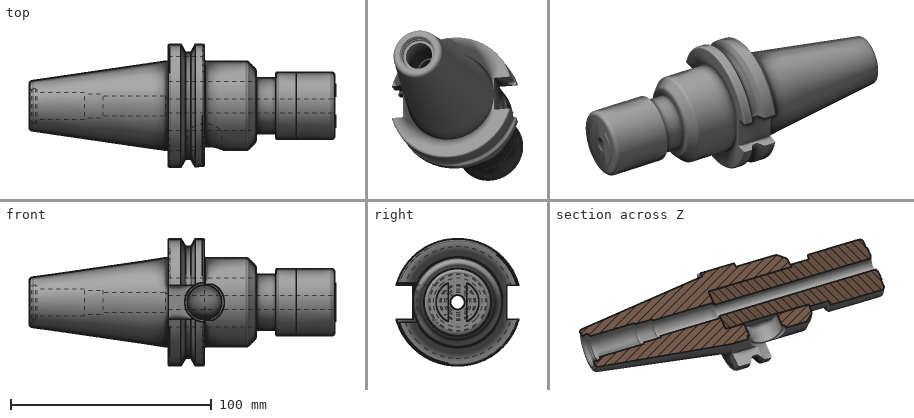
import cadquery as cq
import math

GAUGE_RADIUS = 44.5 / 2
TAPER_END = 68.1
TAPER_SLOPE = 7 / 48
SHANK_TIP_RADIUS = GAUGE_RADIUS - TAPER_SLOPE * TAPER_END
EDGE_ROUND = 2.0

FLANGE_RADIUS = 63.4 / 2
FLANGE_START = 69.2
FLANGE_END = 87.2
FLANGE_ROUND = 0.9
FLANGE_ROOT_ROUND = 0.5
GROOVE_RADIUS = 28.0
GROOVE_FLOOR_START = 77.7
GROOVE_FLOOR_END = 80.6
GROOVE_FLANK_ANGLE = 30
GROOVE_FLANK_WIDTH = (FLANGE_RADIUS - GROOVE_RADIUS) * math.tan(math.radians(GROOVE_FLANK_ANGLE))
GROOVE_ROUND = 0.5

SLOT_WIDTH = 16.8
FRONT_SLOT_FLOOR = 22.3
BACK_SLOT_FLOOR = 24.6

HUB_END = 113.0
HUB_CHAMFER = 4.3
NOSE_RADIUS = 28.5 / 2
NOSE_END = 113.3

WINDOW_CENTRE = 87.4
WINDOW_RADIUS = 17.3 / 2
COUNTERBORE_RADIUS = 19.7 / 2
COUNTERBORE_FLOOR = 20.3

SPINDLE_RADIUS = 24.5 / 2
SPINDLE_START = FLANGE_START
NECK_RADIUS = 28.0 / 2
COLLAR_RADIUS = 33.5 / 2
COLLAR_START = 123.0
COLLAR_ROUND = 0.9
SLEEVE_RADIUS = 33.6 / 2
SLEEVE_START = 133.0
TOTAL_LENGTH = 152.7
BOSS_RADIUS = 10.7
BOSS_HEIGHT = 0.5
BOSS_SLOT_WIDTH = 9.5
SLEEVE_END = TOTAL_LENGTH - BOSS_HEIGHT

MOUTH_RADIUS = 18.0 / 2
PILOT_RADIUS = 16.3 / 2
RING_GROOVE_RADIUS = 17.3 / 2
THREAD_RADIUS = 13.5 / 2
CORE_RADIUS = 11.8 / 2
DRILL_RADIUS = 10.0 / 2
THROUGH_RADIUS = 7.0 / 2
MOUTH_CHAMFER = MOUTH_RADIUS - PILOT_RADIUS
RING_GROOVE_START = 1.8
RING_GROOVE_END = 2.9
PILOT_DEPTH = 3.8
THREAD_DEPTH = 27.5
CORE_DEPTH = 36.7
DRILL_POINT_LENGTH = DRILL_RADIUS - THROUGH_RADIUS


def turned(points):
    """Revolve an (x, radius) outline about the X axis."""
    return cq.Workplane("XY").polyline(points).close().revolve(360, (0, 0, 0), (1, 0, 0))


def rod(radius, start, end):
    """Solid cylinder along the X axis."""
    return cq.Workplane("YZ", origin=(start, 0, 0)).circle(radius).extrude(end - start)


def make_shank():
    shank = turned(
        [
            (0, 0),
            (0, SHANK_TIP_RADIUS),
            (TAPER_END, GAUGE_RADIUS),
            (FLANGE_START, GAUGE_RADIUS),
            (FLANGE_START, 0),
        ]
    )
    return shank.faces("<X").edges().fillet(EDGE_ROUND)


def make_flange():
    flange = rod(FLANGE_RADIUS, FLANGE_START, FLANGE_END)
    flange = flange.faces("<X or >X").edges().fillet(FLANGE_ROUND)
    groove = turned(
        [
            (GROOVE_FLOOR_START - GROOVE_FLANK_WIDTH, FLANGE_RADIUS),
            (GROOVE_FLOOR_START, GROOVE_RADIUS),
            (GROOVE_FLOOR_END, GROOVE_RADIUS),
            (GROOVE_FLOOR_END + GROOVE_FLANK_WIDTH, FLANGE_RADIUS),
        ]
    )
    groove_floor_edges = groove.edges(cq.selectors.RadiusNthSelector(0))
    return flange.cut(groove_floor_edges.fillet(GROOVE_ROUND))


def make_hub():
    hub = rod(GAUGE_RADIUS, FLANGE_START, HUB_END).faces(">X").edges().chamfer(HUB_CHAMFER)
    hub = hub.edges("%CIRCLE and (not <X)").fillet(EDGE_ROUND)
    return hub.union(rod(NOSE_RADIUS, HUB_END, NOSE_END))


def make_flange_root():
    """Small concave ring that blends the flange face into the hub."""
    outer = GAUGE_RADIUS + FLANGE_ROOT_ROUND
    end = FLANGE_END + FLANGE_ROOT_ROUND
    middle_offset = FLANGE_ROOT_ROUND * (1 - math.sqrt(0.5))
    return (
        cq.Workplane("XY")
        .moveTo(FLANGE_END, 0)
        .lineTo(FLANGE_END, outer)
        .threePointArc((FLANGE_END + middle_offset, GAUGE_RADIUS + middle_offset), (end, GAUGE_RADIUS))
        .lineTo(end, 0)
        .close()
        .revolve(360, (0, 0, 0), (1, 0, 0))
    )


def make_drive_slot(floor, side):
    """Slot through the flange on the +Y (side = 1) or -Y (side = -1) side."""
    depth = FLANGE_RADIUS - floor
    length = FLANGE_END + FLANGE_ROOT_ROUND - FLANGE_START
    slot = cq.Workplane("XY").box(length, depth, SLOT_WIDTH)
    return slot.translate((FLANGE_START + length / 2, side * (floor + depth / 2), 0))


def make_window():
    """Round opening along -Y, with a flat-bottomed counterbore at its mouth."""
    hole = cq.Workplane("XZ", origin=(WINDOW_CENTRE, 0, 0)).circle(WINDOW_RADIUS).extrude(FLANGE_RADIUS)
    counterbore = (
        cq.Workplane("XZ", origin=(WINDOW_CENTRE, -COUNTERBORE_FLOOR, 0))
        .circle(COUNTERBORE_RADIUS)
        .extrude(FLANGE_RADIUS - COUNTERBORE_FLOOR)
    )
    return hole.union(counterbore)


def make_bore():
    return turned(
        [
            (0, 0),
            (0, MOUTH_RADIUS),
            (MOUTH_CHAMFER, PILOT_RADIUS),
            (RING_GROOVE_START, PILOT_RADIUS),
            (RING_GROOVE_START, RING_GROOVE_RADIUS),
            (RING_GROOVE_END, RING_GROOVE_RADIUS),
            (RING_GROOVE_END, PILOT_RADIUS),
            (PILOT_DEPTH, PILOT_RADIUS),
            (PILOT_DEPTH, THREAD_RADIUS),
            (THREAD_DEPTH, THREAD_RADIUS),
            (THREAD_DEPTH, CORE_RADIUS),
            (CORE_DEPTH, CORE_RADIUS),
            (CORE_DEPTH, DRILL_RADIUS),
            (SPINDLE_START - DRILL_POINT_LENGTH, DRILL_RADIUS),
            (SPINDLE_START, THROUGH_RADIUS),
            (SPINDLE_START, 0),
        ]
    )


def make_holder():
    holder = make_shank().union(make_flange()).union(make_hub()).union(make_flange_root())
    holder = holder.cut(make_drive_slot(FRONT_SLOT_FLOOR, -1))
    holder = holder.cut(make_drive_slot(BACK_SLOT_FLOOR, 1))
    holder = holder.cut(make_window())
    spindle_bore = rod(SPINDLE_RADIUS, SPINDLE_START, NOSE_END)
    return holder.cut(spindle_bore).cut(make_bore())


def make_boss():
    """Shallow disc on the front face, split by a slot along Z."""
    boss = rod(BOSS_RADIUS, SLEEVE_END, TOTAL_LENGTH)
    slot = cq.Workplane("XY").box(BOSS_HEIGHT, BOSS_SLOT_WIDTH, 2 * BOSS_RADIUS)
    return boss.cut(slot.translate((SLEEVE_END + BOSS_HEIGHT / 2, 0, 0)))


def make_head():
    spindle = rod(SPINDLE_RADIUS, SPINDLE_START, NOSE_END)
    neck = rod(NECK_RADIUS, NOSE_END, COLLAR_START)
    collar = rod(COLLAR_RADIUS, COLLAR_START, SLEEVE_START).faces("<X").edges().fillet(COLLAR_ROUND)
    sleeve = rod(SLEEVE_RADIUS, SLEEVE_START, SLEEVE_END).faces(">X").edges().fillet(EDGE_ROUND)
    head = spindle.union(neck).union(collar).union(sleeve).union(make_boss())
    return head.cut(rod(THROUGH_RADIUS, SPINDLE_START, TOTAL_LENGTH))


holder = make_holder()
head = make_head()
result = cq.Compound.makeCompound([holder.val(), head.val()])